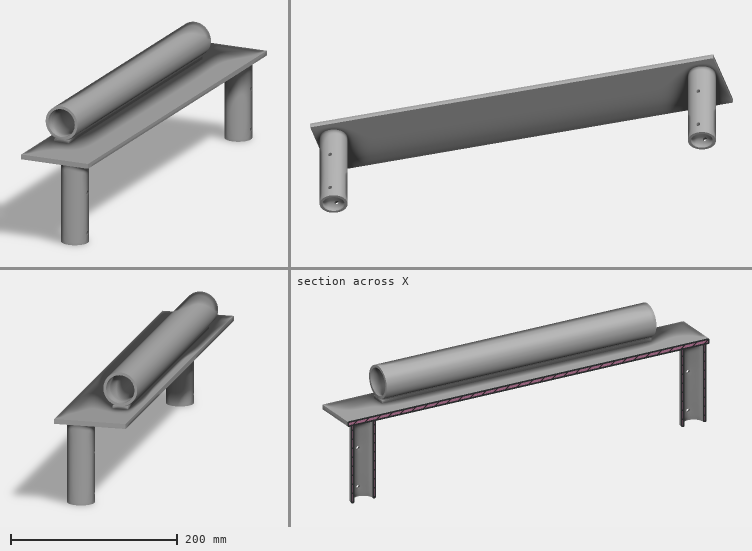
import cadquery as cq

PLATE_LENGTH = 501.5
PLATE_WIDTH = 89.0
PLATE_THICKNESS = 6.0

LEG_LENGTH = 101.0
LEG_OUTER_DIAMETER = 33.5
LEG_INNER_DIAMETER = 26.5
LEG_X = 61.0
LEG_END_INSET = 21.5
LEG_Y_OFFSET = PLATE_LENGTH / 2 - LEG_END_INSET
CROSS_HOLE_DIAMETER = 4.85
CROSS_HOLE_HEIGHTS = (12.5, 63.0)

TUBE_OUTER_DIAMETER = 42.0
TUBE_INNER_DIAMETER = 35.0
TUBE_LENGTH = 374.5
TUBE_X = 23.5

STRIP_WIDTH = 19.5
STRIP_HEIGHT = 3.5

PLATE_TOP_Z = LEG_LENGTH + PLATE_THICKNESS
TUBE_AXIS_Z = PLATE_TOP_Z + STRIP_HEIGHT + TUBE_OUTER_DIAMETER / 2


def make_plate():
    """Flat plate resting on the legs, with its -X side at X = 0."""
    return cq.Workplane("XY", origin=(0, 0, LEG_LENGTH)).box(
        PLATE_WIDTH, PLATE_LENGTH, PLATE_THICKNESS, centered=(False, True, False)
    )


def make_tube():
    """Open tube lying along Y above the plate."""
    return (
        cq.Workplane("XZ", origin=(TUBE_X, TUBE_LENGTH / 2, TUBE_AXIS_Z))
        .circle(TUBE_OUTER_DIAMETER / 2)
        .circle(TUBE_INNER_DIAMETER / 2)
        .extrude(TUBE_LENGTH)
    )


def make_strip():
    """Flat strip between the plate and the tube, as long as the tube."""
    return cq.Workplane("XY", origin=(TUBE_X, 0, PLATE_TOP_Z)).box(
        STRIP_WIDTH, TUBE_LENGTH, STRIP_HEIGHT, centered=(True, True, False)
    )


def make_leg(y):
    """Upright tubular leg with cross holes running along X through both walls."""
    leg = (
        cq.Workplane("XY", origin=(LEG_X, y, 0))
        .circle(LEG_OUTER_DIAMETER / 2)
        .circle(LEG_INNER_DIAMETER / 2)
        .extrude(LEG_LENGTH)
    )
    for height in CROSS_HOLE_HEIGHTS:
        drill = (
            cq.Workplane("YZ", origin=(LEG_X, y, height))
            .circle(CROSS_HOLE_DIAMETER / 2)
            .extrude(LEG_OUTER_DIAMETER, both=True)
        )
        leg = leg.cut(drill)
    return leg


plate = make_plate()
tube = make_tube()
strip = make_strip()
legs = [make_leg(y) for y in (-LEG_Y_OFFSET, LEG_Y_OFFSET)]

result = cq.Compound.makeCompound(
    [plate.val(), tube.val(), strip.val(), *[leg.val() for leg in legs]]
)